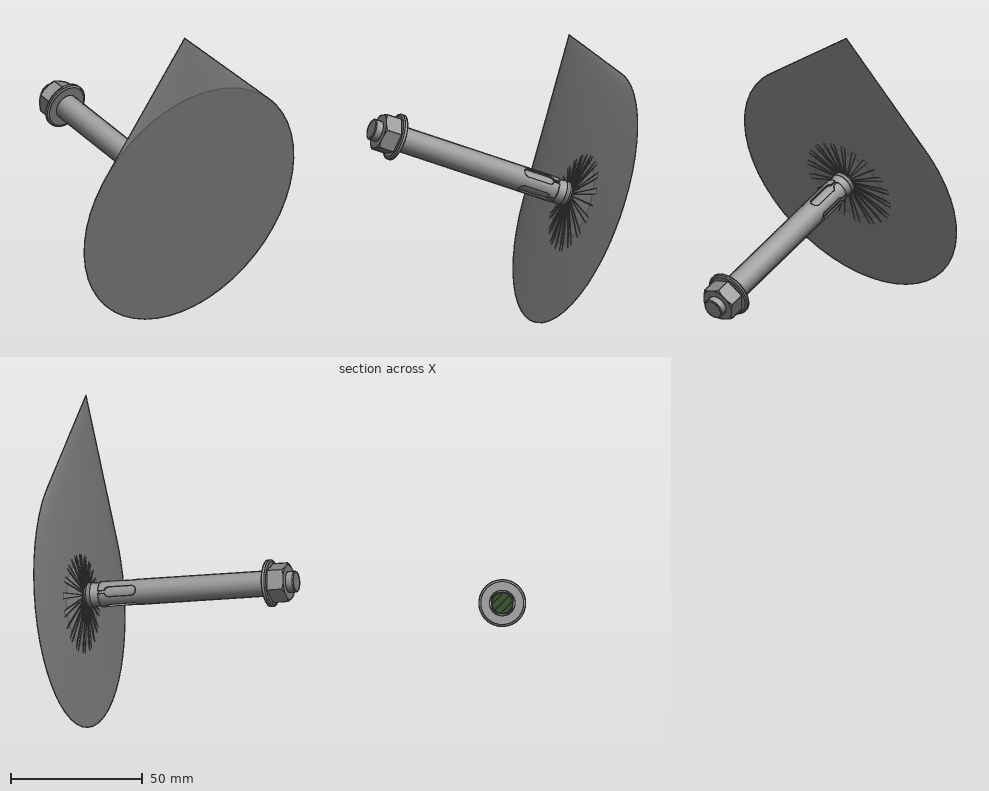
import cadquery as cq
import math


overall_length = 87.7
overall_height = 127.1
plate_diameter = 100.0

nut_start = 3.0
nut_across_flats = 13.0
hex_length = 6.5
hex_turn = 30.0
hex_chamfer_length = 0.5
hex_chamfer_face_diameter = 13.2
flange_diameter = 17.8
flange_thickness = 1.8
flange_rim_bevel = 0.4
flange_rim_drop = 0.8

sleeve_diameter = 9.7
sleeve_bore = 8.3
sleeve_end = 78.5
slot_start = 63.4
slot_end = 76.1
slot_width = 3.8
slit_width = 1.1
slot_count = 4

stud_diameter = 8.0
stud_chamfer = 0.4
cone_small_diameter = 8.3
cone_large_diameter = 9.4
head_diameter = 9.7
cone_end = 81.9
head_bevel_length = 0.6
head_bevel_diameter = 9.5
head_end = 84.1
head_chamfer_length = 0.8
head_end_diameter = 9.2
neck_diameter = 6.9

tip_x = 85.0
tip_radius = 0.03

root_apex_x = 84.9
root_slope = 0.113
rib_apex_x = 84.4
rib_slope = 0.124
root_reach = 23.5
root_back_x = 87.5
rib_angles = (9.8, 29.2, 60.8, 80.2)
rib_spread = 6.5
ridge_angle = 45.0
ridge_spread = 0.8

plate_radius = plate_diameter / 2
tip_z = overall_height - plate_radius
flange_start = nut_start + hex_length
nut_end = flange_start + flange_thickness
neck_radius = neck_diameter / 2

AXIS_START = (0, 0, 0)
AXIS_END = (1, 0, 0)


def revolve_about_x(points, angle=360.0):
    """Revolve an outline of (x, radius) points about the X axis."""
    return cq.Workplane("XY").polyline(points).close().revolve(angle, AXIS_START, AXIS_END)


def cylinder_on_x(diameter, start, end):
    return cq.Workplane("YZ", origin=(start, 0, 0)).circle(diameter / 2).extrude(end - start)


def make_nut():
    corner_diameter = nut_across_flats / math.cos(math.pi / 6)
    corner_radius = corner_diameter / 2
    hexagon = (
        cq.Workplane("YZ", origin=(nut_start, 0, 0))
        .polygon(6, corner_diameter)
        .extrude(hex_length)
        .rotate(AXIS_START, AXIS_END, hex_turn)
    )
    chamfer_envelope = revolve_about_x([
        (nut_start, 0),
        (nut_start, hex_chamfer_face_diameter / 2),
        (nut_start + hex_chamfer_length, corner_radius),
        (flange_start, corner_radius),
        (flange_start, 0),
    ])
    rim_radius = flange_diameter / 2
    flange = revolve_about_x([
        (flange_start, 0),
        (flange_start, rim_radius - flange_rim_drop),
        (flange_start + flange_rim_bevel, rim_radius),
        (nut_end - flange_rim_bevel, rim_radius),
        (nut_end, rim_radius - flange_rim_drop),
        (nut_end, 0),
    ])
    bore = cylinder_on_x(stud_diameter, nut_start, nut_end)
    return hexagon.intersect(chamfer_envelope).union(flange).cut(bore)


def make_sleeve():
    sleeve = cylinder_on_x(sleeve_diameter, nut_end, sleeve_end)
    sleeve = sleeve.cut(cylinder_on_x(sleeve_bore, nut_end, sleeve_end))
    slot_middle = (slot_start + slot_end) / 2
    slot = (
        cq.Workplane("XY")
        .center(slot_middle, 0)
        .slot2D(slot_end - slot_start, slot_width)
        .extrude(sleeve_diameter)
    )
    slit = (
        cq.Workplane("XY")
        .center((slot_middle + sleeve_end) / 2, 0)
        .rect(sleeve_end - slot_middle, slit_width)
        .extrude(sleeve_diameter)
    )
    opening = slot.union(slit)
    for i in range(slot_count):
        sleeve = sleeve.cut(opening.rotate(AXIS_START, AXIS_END, i * 360 / slot_count))
    return sleeve


def make_stud():
    """Stud, expander cone, end head and neck, turned in one piece."""
    stud_radius = stud_diameter / 2
    return revolve_about_x([
        (0, 0),
        (0, stud_radius - stud_chamfer),
        (stud_chamfer, stud_radius),
        (sleeve_end, stud_radius),
        (sleeve_end, cone_small_diameter / 2),
        (cone_end, cone_large_diameter / 2),
        (cone_end, head_bevel_diameter / 2),
        (cone_end + head_bevel_length, head_diameter / 2),
        (head_end - head_chamfer_length, head_diameter / 2),
        (head_end, head_end_diameter / 2),
        (head_end, neck_radius),
        (root_back_x, neck_radius),
        (root_back_x, 0),
    ])


def make_plate():
    base = cq.Wire.makeCircle(plate_radius, cq.Vector(overall_length, 0, 0), cq.Vector(1, 0, 0))
    tip_centre = cq.Vector(tip_x, 0, tip_z - tip_radius)
    tip = cq.Wire.makeCircle(tip_radius, tip_centre, cq.Vector(1, 0, 0))
    return cq.Workplane(obj=cq.Solid.makeLoft([base, tip], True))


def flared_root(apex_x, slope, angle=360.0):
    """A cone, or a sector of one, that flares from the neck down into the plate."""
    inner_radius = 0 if angle == 360.0 else neck_radius / 2
    return revolve_about_x([
        (apex_x + slope * inner_radius, inner_radius),
        (apex_x + slope * root_reach, root_reach),
        (root_back_x, root_reach),
        (root_back_x, inner_radius),
    ], angle)


def make_rib(centre_angle, spread):
    """A radial rib, its centre turned about X from +Y."""
    return flared_root(rib_apex_x, rib_slope, spread).rotate(
        AXIS_START, AXIS_END, centre_angle - spread / 2
    )


def make_plate_stud():
    body = make_plate().union(flared_root(root_apex_x, root_slope)).union(make_stud())
    for quarter_turn in (0, 90, 180, 270):
        for angle in rib_angles:
            body = body.union(make_rib(quarter_turn + angle, rib_spread))
        body = body.union(make_rib(quarter_turn + ridge_angle, ridge_spread))
    return body


nut = make_nut()
sleeve = make_sleeve()
plate_stud = make_plate_stud()

result = cq.Compound.makeCompound([nut.val(), sleeve.val(), plate_stud.val()])